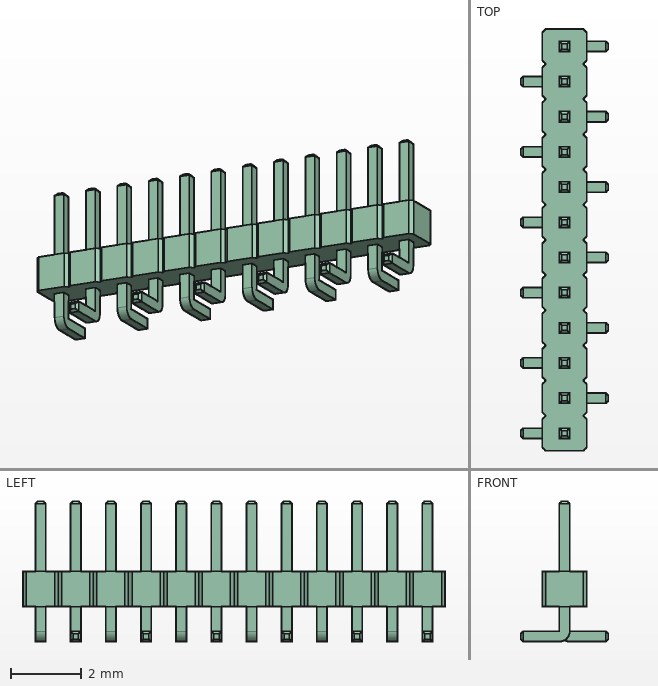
import cadquery as cq

pin_count = 12
pitch = 1.0

housing_width = 1.27
housing_height = 1.0
housing_bottom = 1.0
corner_chamfer = 0.1

pin_size = 0.3
pin_top = 4.0
foot_reach = 1.25
tip_chamfer = pin_size / 4
bend_radius = pin_size

first_pin_y = -(pin_count - 1) * pitch / 2


def housing_cell(y):
    """One housing cell with chamfered vertical corners."""
    return (
        cq.Workplane("XY", origin=(0, y, housing_bottom))
        .rect(housing_width, pitch)
        .extrude(housing_height)
        .edges("|Z")
        .chamfer(corner_chamfer)
    )


def pin():
    """One L-shaped pin with its foot pointing to -X and both tips chamfered."""
    half = pin_size / 2
    return (
        cq.Workplane("XZ", origin=(0, half, 0))
        .moveTo(-foot_reach, 0)
        .lineTo(half - bend_radius, 0)
        .radiusArc((half, bend_radius), -bend_radius)
        .lineTo(half, pin_top)
        .lineTo(-half, pin_top)
        .lineTo(-half, pin_size)
        .lineTo(-foot_reach, pin_size)
        .close()
        .extrude(pin_size)
        .faces(">Z or <X")
        .chamfer(tip_chamfer)
    )


result = cq.Workplane("XY")
for index in range(pin_count):
    pin_y = first_pin_y + index * pitch
    foot_turn = 180 * (index % 2)
    contact = pin().rotate((0, 0, 0), (0, 0, 1), foot_turn).translate((0, pin_y, 0))
    result = result.union(housing_cell(pin_y)).union(contact)